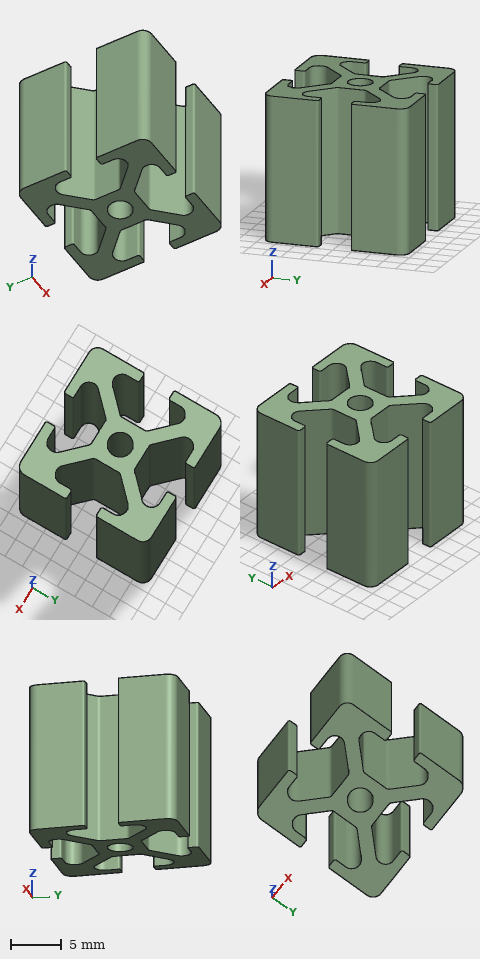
import cadquery as cq
import math

side = 15.0
length = 15.0
corner_radius = 1.0

slot_opening = 3.39
lip_thickness = 1.1
pocket_width = 8.04
lip_radius = 0.21

core_width = 5.01
core_radius = 0.5
web_thickness = 1.44
bore_diameter = 2.54

half_side = side / 2
half_opening = slot_opening / 2
half_pocket = pocket_width / 2
half_core = core_width / 2
lip_inner = half_side - lip_thickness
web_offset = web_thickness / math.sqrt(2)
half_floor = half_core - web_offset

pocket_radius = (lip_inner - half_pocket - web_offset) / math.sqrt(2)
arc_x = half_pocket - pocket_radius
arc_y = lip_inner - pocket_radius


def vertical_edges_at(body, points):
    """Select the upright edges passing through the given XY points."""
    reach = 0.02
    selector = None
    for x, y in points:
        box = cq.selectors.BoxSelector(
            (x - reach, y - reach, -reach), (x + reach, y + reach, length + reach)
        )
        selector = box if selector is None else selector + box
    return body.edges("|Z").edges(selector)


def mirrored(x, y):
    """A point and its mirror image across the Y axis."""
    return [(-x, y), (x, y)]


def slot_cutter():
    """T-slot on the +Y side, with round pocket ends and rounded floor and lip corners."""
    diagonal = pocket_radius / math.sqrt(2)
    cutter = (
        cq.Workplane("XY")
        .moveTo(half_floor, half_core)
        .lineTo(arc_x + diagonal, arc_y - diagonal)
        .threePointArc((half_pocket, arc_y), (arc_x, lip_inner))
        .lineTo(half_opening, lip_inner)
        .lineTo(half_opening, half_side)
        .lineTo(-half_opening, half_side)
        .lineTo(-half_opening, lip_inner)
        .lineTo(-arc_x, lip_inner)
        .threePointArc((-half_pocket, arc_y), (-arc_x - diagonal, arc_y - diagonal))
        .lineTo(-half_floor, half_core)
        .close()
        .extrude(length)
    )
    floor_corners = mirrored(half_floor, half_core)
    cutter = vertical_edges_at(cutter, floor_corners).fillet(core_radius)
    lip_corners = mirrored(half_opening, lip_inner)
    return vertical_edges_at(cutter, lip_corners).fillet(lip_radius)


def round_outer_lips(body):
    """Round the outside edges of the slot openings on all four sides."""
    points = []
    for across in (-half_opening, half_opening):
        for outward in (-half_side, half_side):
            points += [(across, outward), (outward, across)]
    return vertical_edges_at(body, points).fillet(lip_radius)


result = cq.Workplane("XY").rect(side, side).extrude(length).edges("|Z").fillet(corner_radius)

for quarter_turn in range(4):
    result = result.cut(slot_cutter().rotate((0, 0, 0), (0, 0, 1), 90 * quarter_turn))
result = round_outer_lips(result)

result = result.faces(">Z").workplane(origin=(0, 0, length)).hole(bore_diameter)